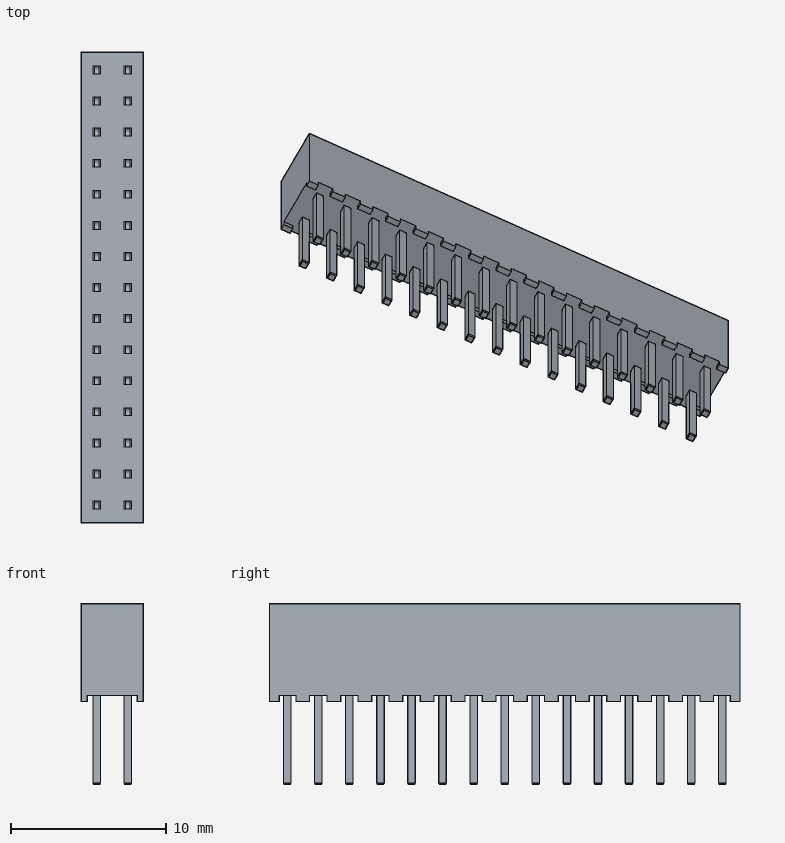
import cadquery as cq

PITCH = 2.0
COLUMNS = 2
ROWS = 15

HOUSING_WIDTH = COLUMNS * PITCH
END_MARGIN = 0.15
HOUSING_LENGTH = ROWS * PITCH + 2 * END_MARGIN
HOUSING_HEIGHT = 6.3

FOOT_HEIGHT = 0.38
FOOT_WIDTH = 0.4
NOTCH_LENGTH = 1.1
END_FOOT_LENGTH = 0.65

OVERALL_HEIGHT = 11.63
PIN_SIZE = 0.5
PIN_TIP_LENGTH = 0.1
PIN_TIP_INSET = 0.05

OPENING_SIZE = 0.5
OPENING_DEPTH = 3.0
TROUGH_WIDTH = 0.3

PIN_BOTTOM = HOUSING_HEIGHT - OVERALL_HEIGHT
PIN_LENGTH = FOOT_HEIGHT - PIN_BOTTOM


def contact_grid(workplane):
    """Put one point at each contact position."""
    return workplane.rarray(PITCH, PITCH, COLUMNS, ROWS)


def make_block():
    """Housing block above the feet."""
    return (
        cq.Workplane("XY")
        .workplane(offset=FOOT_HEIGHT)
        .rect(HOUSING_WIDTH, HOUSING_LENGTH)
        .extrude(HOUSING_HEIGHT - FOOT_HEIGHT)
    )


def make_feet():
    """Feet along both long sides, with a gap beside every pin row."""
    foot_x = (HOUSING_WIDTH - FOOT_WIDTH) / 2
    end_foot_y = (HOUSING_LENGTH - END_FOOT_LENGTH) / 2
    feet = (
        cq.Workplane("XY")
        .rarray(2 * foot_x, PITCH, 2, ROWS - 1)
        .rect(FOOT_WIDTH, PITCH - NOTCH_LENGTH)
        .extrude(FOOT_HEIGHT)
    )
    end_feet = (
        cq.Workplane("XY")
        .rarray(2 * foot_x, 2 * end_foot_y, 2, 2)
        .rect(FOOT_WIDTH, END_FOOT_LENGTH)
        .extrude(FOOT_HEIGHT)
    )
    return feet.add(end_feet).combine()


def make_pins():
    """Square pins with bevelled tips, hanging from the underside of the block."""
    return (
        contact_grid(cq.Workplane("XY").workplane(offset=PIN_BOTTOM))
        .rect(PIN_SIZE, PIN_SIZE)
        .extrude(PIN_LENGTH)
        .faces("<Z")
        .chamfer(PIN_TIP_LENGTH, PIN_TIP_INSET)
    )


def make_openings():
    """Square blind openings above the pins."""
    return (
        contact_grid(cq.Workplane("XY").workplane(offset=HOUSING_HEIGHT))
        .rect(OPENING_SIZE, OPENING_SIZE)
        .extrude(-OPENING_DEPTH)
    )


def make_troughs():
    """Half-round troughs in the floors of the openings, running along X."""
    trough = (
        cq.Workplane("YZ")
        .circle(OPENING_SIZE / 2)
        .extrude(TROUGH_WIDTH / 2, both=True)
        .val()
    )
    opening_floor = cq.Workplane("XY").workplane(offset=HOUSING_HEIGHT - OPENING_DEPTH)
    return contact_grid(opening_floor).eachpoint(lambda place: trough.moved(place))


housing = make_block().union(make_feet()).union(make_pins())
result = housing.cut(make_openings()).cut(make_troughs())